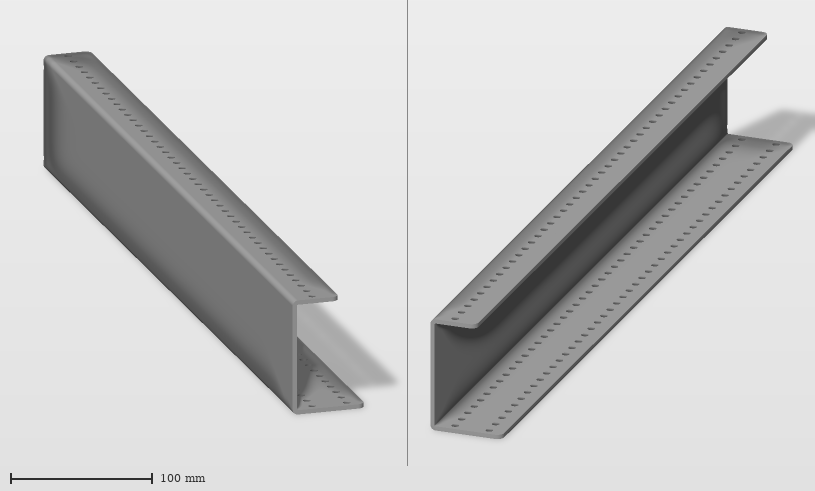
import cadquery as cq
length = 584.0
bottom_flange_depth = 54.0
top_flange_depth = 34.5
height = 85.0

thickness = 3.2
outer_bend_radius = 3.85
inner_bend_radius = outer_bend_radius - thickness
flange_corner_radius = 5.0

notch_radius = 2.0
notch_inset = 9.0

hole_diameter = 5.3
hole_count = 46
hole_pitch = length / hole_count
inner_row_y = 16.5
outer_row_y = 42.0


def channel():
    """C channel with the outer web face at Y = 0 and both flanges pointing to +Y."""
    outline = (
        cq.Workplane("YZ")
        .moveTo(bottom_flange_depth, 0)
        .lineTo(outer_bend_radius, 0)
        .radiusArc((0, outer_bend_radius), outer_bend_radius)
        .lineTo(0, height - outer_bend_radius)
        .radiusArc((outer_bend_radius, height), outer_bend_radius)
        .lineTo(top_flange_depth, height)
        .lineTo(top_flange_depth, height - thickness)
        .lineTo(outer_bend_radius, height - thickness)
        .radiusArc((thickness, height - outer_bend_radius), -inner_bend_radius)
        .lineTo(thickness, outer_bend_radius)
        .radiusArc((outer_bend_radius, thickness), -inner_bend_radius)
        .lineTo(bottom_flange_depth, thickness)
        .close()
    )
    body = outline.extrude(length)
    free_corners = body.edges("|Z").filter(lambda edge: edge.Center().y > outer_bend_radius)
    return free_corners.fillet(flange_corner_radius)


def web_notches():
    """Round cutters through the web, centered on its X = 0 end edge."""
    centers = [(0, notch_inset), (0, height - notch_inset)]
    return cq.Workplane("XZ").pushPoints(centers).circle(notch_radius).extrude(-thickness)


def hole_row(row_y):
    """One row of vertical drills as tall as the channel."""
    centers = [((i + 0.5) * hole_pitch, row_y) for i in range(hole_count)]
    return cq.Workplane("XY").pushPoints(centers).circle(hole_diameter / 2).extrude(height)


result = channel()
result = result.cut(web_notches())
result = result.cut(hole_row(inner_row_y))
result = result.cut(hole_row(outer_row_y))